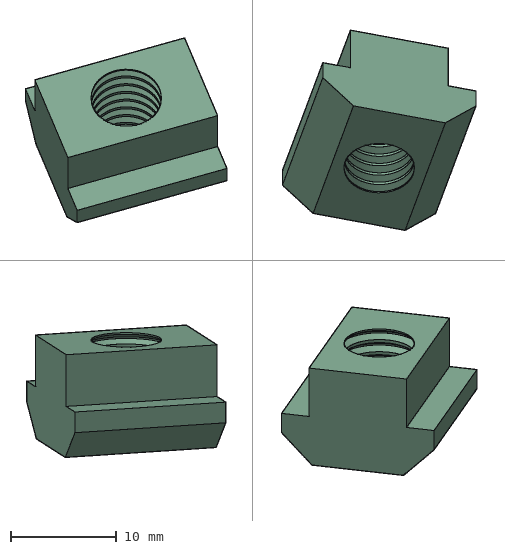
import cadquery as cq

width = 15.0
length = 15.0
base_height = width / 3
height = 2 * base_height

stem_width = 9.6
bevel = 3.0

hole_diameter = 6.65
thread_diameter = 8.0
groove_count = 8
pitch = height / groove_count
groove_width = 0.75 * pitch
root_width = pitch / 8


def make_body():
    """T-nut section, symmetric about the YZ plane, extruded along Y."""
    half_section = [
        (0, 0),
        (width / 2 - bevel, 0),
        (width / 2, bevel),
        (width / 2, base_height),
        (stem_width / 2, base_height),
        (stem_width / 2, height),
        (0, height),
    ]
    half = cq.Workplane("XZ").polyline(half_section).close().extrude(length / 2, both=True)
    return half.union(half.mirror("YZ")).clean()


def make_threaded_bore():
    """Through bore with V-grooves, revolved about Z as one cutting tool."""
    bore_radius = hole_diameter / 2
    root_radius = thread_diameter / 2
    profile = [(0, 0), (bore_radius, 0)]
    for index in range(groove_count):
        middle = (index + 0.5) * pitch
        profile += [
            (bore_radius, middle - groove_width / 2),
            (root_radius, middle - root_width / 2),
            (root_radius, middle + root_width / 2),
            (bore_radius, middle + groove_width / 2),
        ]
    profile += [(bore_radius, height), (0, height)]
    return cq.Workplane("XZ").polyline(profile).close().revolve(360, (0, 0), (0, 1))


result = make_body().cut(make_threaded_bore())